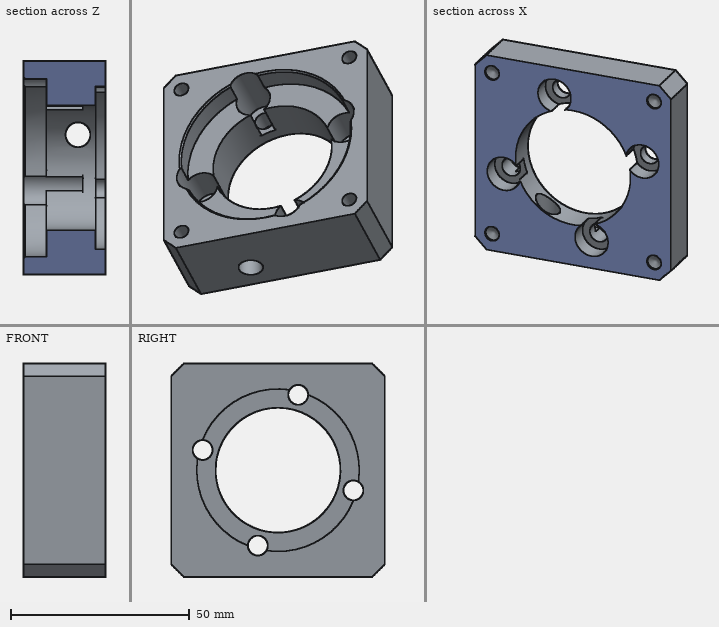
import cadquery as cq
import math

side = 60.0
thickness = 23.1
corner_chamfer = 3.6
bore_diameter = 35.0

recess_mouth_diameter = 50.9
recess_diameter = 49.9
recess_depth = 6.5

screw_count = 4
screw_circle_radius = 21.9
screw_first_angle = 75.0
screw_hole_diameter = 5.5
counterbore_diameter = 9.95
counterbore_depth = 16.75

rear_recess_diameter = 45.6
rear_recess_depth = 2.8

corner_hole_spacing = 49.5
corner_hole_diameter = 4.2
corner_hole_depth = 12.0
drill_point_angle = 118.0

side_hole_x = 3.8
side_hole_y = 9.25
side_hole_diameter = 6.9

front_x = -thickness / 2
inward = cq.Vector(1, 0, 0)


def bore_from_front(diameter, depth, y=0.0, z=0.0):
    """Cylinder entering the -X face at (y, z)."""
    start = cq.Vector(front_x, y, z)
    return cq.Workplane(obj=cq.Solid.makeCylinder(diameter / 2, depth, start, inward))


def blind_drill(y, z):
    """Blind corner hole ending in a drill point."""
    radius = corner_hole_diameter / 2
    point_length = radius / math.tan(math.radians(drill_point_angle / 2))
    tip_start = cq.Vector(front_x + corner_hole_depth, y, z)
    tip = cq.Solid.makeCone(radius, 0, point_length, tip_start, inward)
    return bore_from_front(corner_hole_diameter, corner_hole_depth, y, z).union(cq.Workplane(obj=tip))


body = cq.Workplane("YZ").rect(side, side).extrude(thickness / 2, both=True)
body = body.edges("|X").chamfer(corner_chamfer)

body = body.cut(bore_from_front(bore_diameter, thickness))
body = body.cut(bore_from_front(recess_diameter, recess_depth))
recess_chamfer = (recess_mouth_diameter - recess_diameter) / 2
mouth = cq.Solid.makeCone(
    recess_mouth_diameter / 2, recess_diameter / 2, recess_chamfer, cq.Vector(front_x, 0, 0), inward
)
body = body.cut(cq.Workplane(obj=mouth))

rear_recess = cq.Workplane("YZ", origin=(thickness / 2, 0, 0)).circle(rear_recess_diameter / 2)
body = body.cut(rear_recess.extrude(-rear_recess_depth))

for index in range(screw_count):
    angle = math.radians(screw_first_angle + 360 / screw_count * index)
    screw_y = screw_circle_radius * math.cos(angle)
    screw_z = screw_circle_radius * math.sin(angle)
    body = body.cut(bore_from_front(screw_hole_diameter, thickness, screw_y, screw_z))
    body = body.cut(bore_from_front(counterbore_diameter, counterbore_depth, screw_y, screw_z))

for corner_y in (-corner_hole_spacing / 2, corner_hole_spacing / 2):
    for corner_z in (-corner_hole_spacing / 2, corner_hole_spacing / 2):
        body = body.cut(blind_drill(corner_y, corner_z))

side_hole = cq.Solid.makeCylinder(
    side_hole_diameter / 2, side / 2, cq.Vector(side_hole_x, side_hole_y, 0), cq.Vector(0, 0, -1)
)
result = body.cut(cq.Workplane(obj=side_hole))